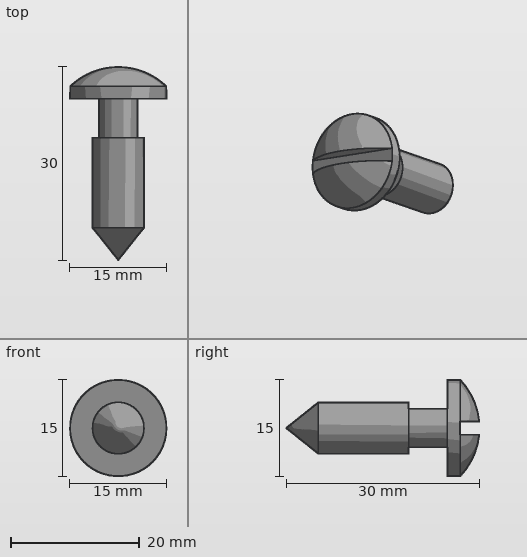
import cadquery as cq

tip_length = 5.0
body_length = 14.0
neck_length = 6.0
rim_height = 2.0
overall_length = 29.98

body_diameter = 8.0
neck_diameter = 6.0
head_diameter = 15.0

slot_width = 2.0

body_start = tip_length
neck_start = body_start + body_length
head_start = neck_start + neck_length
dome_start = head_start + rim_height

body_radius = body_diameter / 2
neck_radius = neck_diameter / 2
head_radius = head_diameter / 2

edge_height = overall_length - dome_start
half_slot = slot_width / 2
centre_drop = (head_radius**2 - half_slot**2 - edge_height**2) / (2 * edge_height)
dome_radius = (head_radius**2 + centre_drop**2) ** 0.5
apex = dome_start - centre_drop + dome_radius
mid_radius = head_radius / 2
mid_station = dome_start - centre_drop + (dome_radius**2 - mid_radius**2) ** 0.5


def make_pin():
    """Revolve the pointed body, neck and domed head about Y."""
    return (
        cq.Workplane("YZ")
        .lineTo(body_start, body_radius)
        .lineTo(neck_start, body_radius)
        .lineTo(neck_start, neck_radius)
        .lineTo(head_start, neck_radius)
        .lineTo(head_start, head_radius)
        .lineTo(dome_start, head_radius)
        .threePointArc((mid_station, mid_radius), (apex, 0))
        .close()
        .revolve(360, (0, 0, 0), (1, 0, 0))
    )


def make_slot():
    """Screwdriver slot across the dome along X, as deep as the dome."""
    return (
        cq.Workplane("XY")
        .box(head_diameter, apex - dome_start, slot_width, centered=(True, False, True))
        .translate((0, dome_start, 0))
    )


result = make_pin().cut(make_slot())